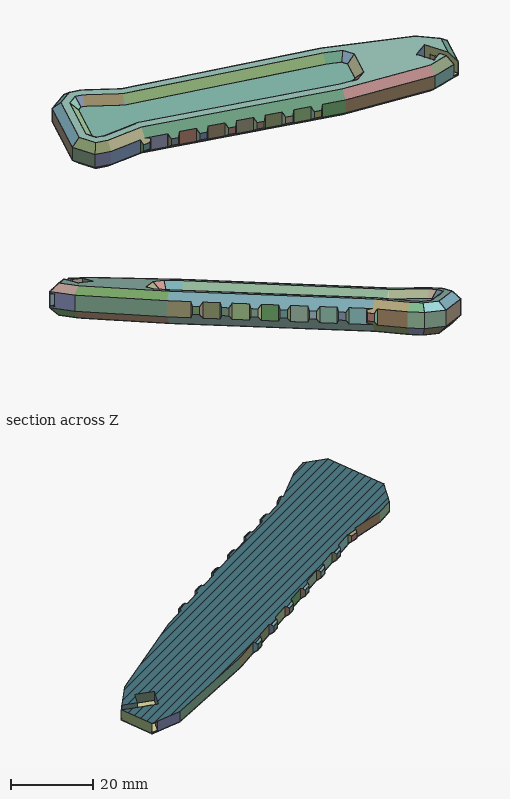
import cadquery as cq
import math

length = 100.0
thickness = 8.0
edge_chamfer = 2.0

butt_half = 12.5
butt_corner = 4.4
butt_side_end_y = 8.6
waist_half = 10.0
waist_y = 18.0
shoulder_half = 10.5
shoulder_y = 69.2
nose_half = 8.0
nose_y = 92.9
tip_half = 4.5

tray_limit_y = 80.0
tray_inset = 4.0
tray_depth = 2.0
tray_wall_angle = 45.0

tooth_count = 7
tooth_height = 1.0
tooth_tip_width = 1.8
tooth_flank_run = 0.6
first_tooth_y = 18.0
tooth_pitch = 7.3
bar_overrun = 0.5

seat_length = 4.8
seat_width = 4.3
seat_setback = 4.5
seat_floor_z = 2.5
slit_width = 1.4
channel_height = 3.0
slit_overrun = 2.0


def mirrored(right_side):
    """Close a right-hand point chain with its mirror image across X = 0."""
    left_side = [(-x, y) for x, y in reversed(right_side)]
    return right_side + left_side


def side_half(y):
    """Half-width of the straight side between the waist and the shoulder."""
    share = (y - waist_y) / (shoulder_y - waist_y)
    return waist_half + share * (shoulder_half - waist_half)


def nose_taper_half(y):
    """Half-width of the side between the shoulder and the nose."""
    share = (y - shoulder_y) / (nose_y - shoulder_y)
    return shoulder_half + share * (nose_half - shoulder_half)


def flare_half(y):
    """Half-width of the flared side below the waist, or of its straight extension."""
    share = (y - butt_side_end_y) / (waist_y - butt_side_end_y)
    return butt_half + share * (waist_half - butt_half)


butt_side = [
    (butt_half - butt_corner, 0),
    (butt_half, butt_corner),
    (butt_half, butt_side_end_y),
]
lower_side = butt_side + [(waist_half, waist_y), (shoulder_half, shoulder_y)]
nose_side = [(nose_half, nose_y), (tip_half, length)]


def chamfered_solid(side, outset):
    """Symmetric full-thickness solid grown outward by outset, with chamfered rims.

    The chamfer grows with the outset, so all rims lie in the same sloped planes.
    """
    sketch = cq.Workplane("XY").polyline(mirrored(side)).close()
    if outset:
        sketch = sketch.offset2D(outset, "intersection")
    return sketch.extrude(thickness).faces("|Z").chamfer(edge_chamfer + outset)


def tray():
    """Sloped-wall recess that follows the handle outline at a constant inset."""
    corner_y = tray_limit_y - butt_corner
    corner_half = nose_taper_half(corner_y)
    outline = mirrored(
        lower_side + [(corner_half, corner_y), (corner_half - butt_corner, tray_limit_y)]
    )
    return (
        cq.Workplane("XY", origin=(0, 0, thickness))
        .polyline(outline)
        .close()
        .offset2D(-tray_inset, "intersection")
        .extrude(-tray_depth, taper=tray_wall_angle)
    )


def tooth_bar(y):
    """Trapezoid bar across the handle, narrowing outward to one tooth on each side."""
    tip_half_width = tooth_tip_width / 2
    root_half_width = tip_half_width + tooth_flank_run
    end_half_width = tip_half_width - bar_overrun * tooth_flank_run / tooth_height
    root_x = side_half(y)
    end_x = root_x + tooth_height + bar_overrun
    outline = mirrored(
        [
            (root_x, y - root_half_width),
            (end_x, y - end_half_width),
            (end_x, y + end_half_width),
            (root_x, y + root_half_width),
        ]
    )
    return cq.Workplane("XY").polyline(outline).close().extrude(thickness)


def grip_teeth():
    """Pairs of teeth; the lowest pair follows the flare, the others the long side."""
    flare_top_y = waist_y + 2 * tooth_tip_width
    flare_side = butt_side + [(flare_half(flare_top_y), flare_top_y)]
    teeth = tooth_bar(first_tooth_y).intersect(chamfered_solid(flare_side, tooth_height))

    grown_handle = chamfered_solid(lower_side + nose_side, tooth_height)
    for index in range(1, tooth_count):
        bar = tooth_bar(first_tooth_y + index * tooth_pitch)
        teeth = teeth.union(bar.intersect(grown_handle))
    return teeth


def turned_block(u_range, v_range, height):
    """Block standing on the seat floor, in a frame turned 45 degrees.

    The frame starts at the right tip corner; U runs outward along the slit
    and V runs across it, toward the left side.
    """
    u_start, u_end = u_range
    v_start, v_end = v_range
    frame = cq.Plane(
        origin=(tip_half, length, seat_floor_z), xDir=(1, 1, 0), normal=(0, 0, 1)
    )
    return (
        cq.Workplane(frame)
        .center((u_start + u_end) / 2, (v_start + v_end) / 2)
        .rect(u_end - u_start, v_end - v_start)
        .extrude(height)
    )


def blade_cut():
    """Seat open to the top, its slit to the right corner and a channel to the left."""
    open_height = thickness - seat_floor_z
    seat_range = (-seat_setback - seat_length, -seat_setback)
    channel_wall = -2 * tip_half * math.cos(math.radians(45))

    seat = turned_block(seat_range, (-seat_width, 0), open_height)
    slit = turned_block((-seat_setback, slit_overrun), (-slit_width, 0), open_height)
    channel = turned_block(
        (channel_wall - slit_width, channel_wall),
        (-slit_width, slit_overrun - channel_wall),
        channel_height,
    )
    return seat.union(slit).union(channel)


handle = chamfered_solid(lower_side + nose_side, 0)
result = handle.union(grip_teeth()).cut(tray()).cut(blade_cut())